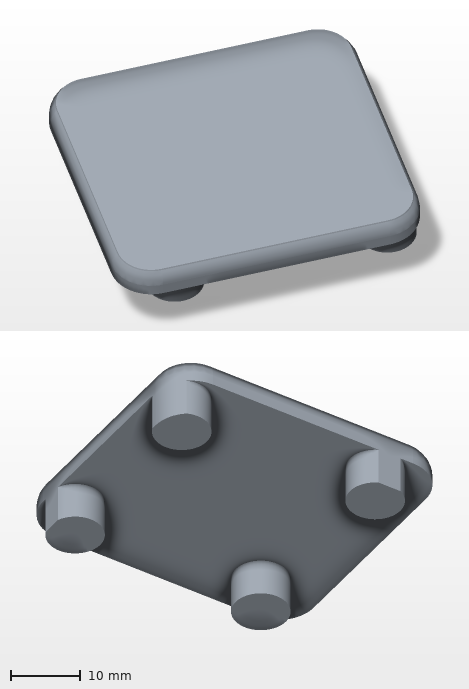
import cadquery as cq
import math

WIDTH = 42.0
LENGTH = 46.0
CORNER_RADIUS = 6.0
PLATE_THICKNESS = 4.0
LEG_HEIGHT = 6.0

SIDE_HEIGHT = 1.7
RIM_RADIUS = 3.0
BEVEL_HEIGHT = 0.2
BEVEL_WIDTH = 0.1

LEG_RADIUS = 4.3
BACK_LEG_Y = 19.05
FRONT_LEG_Y = -13.0
LEG_CENTERS = [
    (-15.8, BACK_LEG_Y),
    (12.7, BACK_LEG_Y),
    (-17.15, FRONT_LEG_Y),
    (13.4, FRONT_LEG_Y),
]


def rounded_block(bottom, height):
    """Upright block following the plate outline."""
    return (
        cq.Workplane("XY", origin=(0, 0, bottom))
        .rect(WIDTH, LENGTH)
        .extrude(height)
        .edges("|Z")
        .fillet(CORNER_RADIUS)
    )


def rim_cutter():
    """Material outside the rim profile, swept around the plate outline."""
    arc_height = PLATE_THICKNESS - BEVEL_HEIGHT - SIDE_HEIGHT
    arc_angle = math.asin(arc_height / RIM_RADIUS)

    def arc_point(angle):
        inset = RIM_RADIUS * (1 - math.cos(angle))
        return (WIDTH / 2 - inset, SIDE_HEIGHT + RIM_RADIUS * math.sin(angle))

    arc_end = arc_point(arc_angle)
    clearance = 0.45
    outer_x = WIDTH / 2 + clearance
    profile = (
        cq.Workplane("XZ")
        .moveTo(WIDTH / 2, SIDE_HEIGHT)
        .threePointArc(arc_point(arc_angle / 2), arc_end)
        .lineTo(arc_end[0] - BEVEL_WIDTH, PLATE_THICKNESS)
        .lineTo(outer_x, PLATE_THICKNESS)
        .lineTo(outer_x, SIDE_HEIGHT)
        .close()
    )
    path = rounded_block(SIDE_HEIGHT, RIM_RADIUS).faces("<Z").wires()
    return profile.sweep(path)


def legs():
    """Four round legs kept within the plate outline."""
    cylinders = (
        cq.Workplane("XY")
        .pushPoints(LEG_CENTERS)
        .circle(LEG_RADIUS)
        .extrude(-LEG_HEIGHT)
    )
    return cylinders.intersect(rounded_block(-LEG_HEIGHT, LEG_HEIGHT))


plate = rounded_block(0, PLATE_THICKNESS).cut(rim_cutter())
result = plate.union(legs())